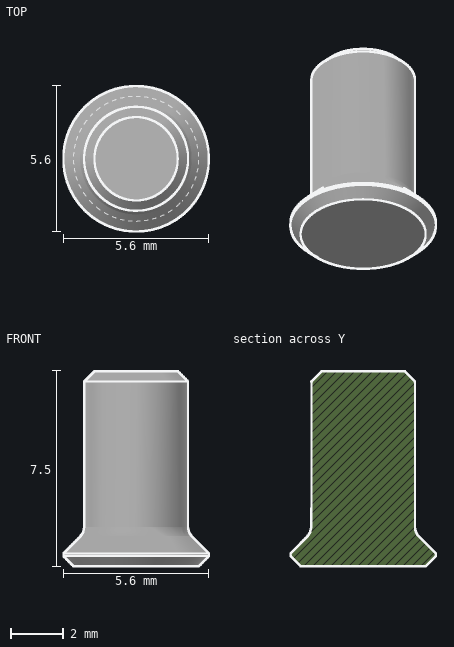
import cadquery as cq

total_height = 7.5
flange_diameter = 5.6
shank_diameter = 4.0
end_chamfer = 0.4
rim_height = 0.1
neck_radius = 0.5

flange_radius = flange_diameter / 2
shank_radius = shank_diameter / 2
rim_top = end_chamfer + rim_height
cone_top = rim_top + flange_radius - shank_radius


def make_flange():
    """Flange with a chamfered base, a straight rim and a 45 degree upper cone."""
    return (
        cq.Workplane("XZ")
        .lineTo(flange_radius - end_chamfer, 0)
        .lineTo(flange_radius, end_chamfer)
        .lineTo(flange_radius, rim_top)
        .lineTo(shank_radius, cone_top)
        .lineTo(0, cone_top)
        .close()
        .revolve(360, (0, 0), (0, 1))
    )


def make_shank():
    """Cylindrical shank with a chamfered tip, standing on the flange cone."""
    shank = cq.Workplane("XY").workplane(offset=cone_top).circle(shank_radius)
    return shank.extrude(total_height - cone_top).faces(">Z").chamfer(end_chamfer)


def round_neck(body):
    """Blend the shank into the flange cone."""
    neck_edge = cq.selectors.BoxSelector(
        (-flange_radius, -flange_radius, cone_top - rim_height),
        (flange_radius, flange_radius, cone_top + rim_height),
        boundingbox=True,
    )
    return body.edges(neck_edge).fillet(neck_radius)


result = round_neck(make_flange().union(make_shank()))